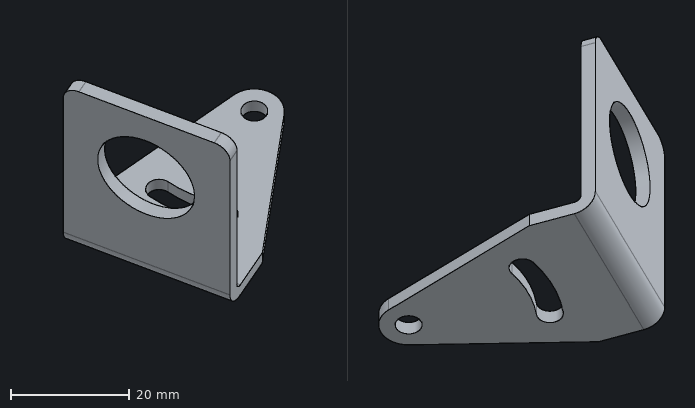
import cadquery as cq
import math

width = 31.75
depth = 45.45
height = 40.65
thickness = 2.65
bend_inner_radius = 1.2
bend_outer_radius = bend_inner_radius + thickness

hole_line_x = -0.1

corner_radius = 3.0
large_hole_diameter = 18.4
large_hole_height = 25.4

straight_length = 12.05
tip_radius = 5.1
pivot_hole_diameter = 4.55
pivot_y = depth - tip_radius

slot_path_radius = 24.1
slot_half_angle = 15.0
slot_width = 4.55


def make_bent_strip():
    """L-shaped profile in the YZ plane, extruded across the width."""
    strip = (
        cq.Workplane("YZ")
        .moveTo(0, 0)
        .lineTo(depth, 0)
        .lineTo(depth, thickness)
        .lineTo(thickness, thickness)
        .lineTo(thickness, height)
        .lineTo(0, height)
        .close()
        .extrude(width / 2, both=True)
    )
    inner_edge = cq.selectors.NearestToPointSelector((0, thickness, thickness))
    outer_edge = cq.selectors.NearestToPointSelector((0, 0, 0))
    strip = strip.edges("|X").edges(inner_edge).fillet(bend_inner_radius)
    strip = strip.edges("|X").edges(outer_edge).fillet(bend_outer_radius)
    return strip.edges("|Y and >Z").fillet(corner_radius)


def tip_tangent_point(side):
    """Point where the taper on one side (-1 left, 1 right) runs tangent into the tip."""
    across = width / 2 - side * hole_line_x
    along = pivot_y - straight_length
    corner_distance = math.hypot(across, along)
    tangent_angle = math.acos(tip_radius / corner_distance) - math.atan2(along, across)
    return (
        hole_line_x + side * tip_radius * math.cos(tangent_angle),
        pivot_y + tip_radius * math.sin(tangent_angle),
    )


def make_base_envelope():
    """Tapered plan outline whose sides run tangent into the rounded tip."""
    half_width = width / 2
    return (
        cq.Workplane("XY")
        .moveTo(-half_width, 0)
        .lineTo(half_width, 0)
        .lineTo(half_width, straight_length)
        .lineTo(*tip_tangent_point(1))
        .threePointArc((hole_line_x, depth), tip_tangent_point(-1))
        .lineTo(-half_width, straight_length)
        .close()
        .extrude(height)
    )


def slot_point(radius, angle_degrees):
    """Point at a radius from the pivot, at an angle from the -Y direction."""
    angle = math.radians(angle_degrees)
    return (hole_line_x + radius * math.sin(angle), pivot_y - radius * math.cos(angle))


def make_slot_cutter():
    inner = slot_path_radius - slot_width / 2
    outer = slot_path_radius + slot_width / 2
    end_radius = math.hypot(slot_path_radius, slot_width / 2)
    end_angle = slot_half_angle + math.degrees(math.atan2(slot_width / 2, slot_path_radius))
    return (
        cq.Workplane("XY")
        .moveTo(*slot_point(inner, -slot_half_angle))
        .threePointArc(slot_point(inner, 0), slot_point(inner, slot_half_angle))
        .threePointArc(slot_point(end_radius, end_angle), slot_point(outer, slot_half_angle))
        .threePointArc(slot_point(outer, 0), slot_point(outer, -slot_half_angle))
        .threePointArc(slot_point(end_radius, -end_angle), slot_point(inner, -slot_half_angle))
        .close()
        .extrude(thickness)
    )


def make_pivot_hole_cutter():
    return cq.Workplane("XY").center(hole_line_x, pivot_y).circle(pivot_hole_diameter / 2).extrude(thickness)


def make_large_hole_cutter():
    return (
        cq.Workplane("XZ")
        .center(hole_line_x, large_hole_height)
        .circle(large_hole_diameter / 2)
        .extrude(-thickness)
    )


result = (
    make_bent_strip()
    .intersect(make_base_envelope())
    .cut(make_slot_cutter())
    .cut(make_pivot_hole_cutter())
    .cut(make_large_hole_cutter())
)